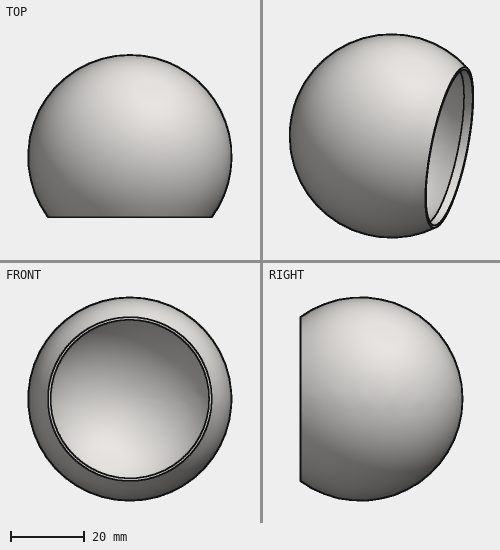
import cadquery as cq
import math

outer_radius = 27.65
wall_thickness = 2.0
rim_distance = 16.4
opening_radius = 21.5

inner_radius = outer_radius - wall_thickness
rim_radius = math.sqrt(outer_radius**2 - rim_distance**2)
bore_end_distance = math.sqrt(inner_radius**2 - opening_radius**2)

wall_section = (
    cq.Workplane("XY")
    .moveTo(0, outer_radius)
    .threePointArc((outer_radius, 0), (rim_radius, -rim_distance))
    .lineTo(opening_radius, -rim_distance)
    .lineTo(opening_radius, -bore_end_distance)
    .threePointArc((inner_radius, 0), (0, inner_radius))
    .close()
)

result = wall_section.revolve(360, (0, 0, 0), (0, 1, 0))